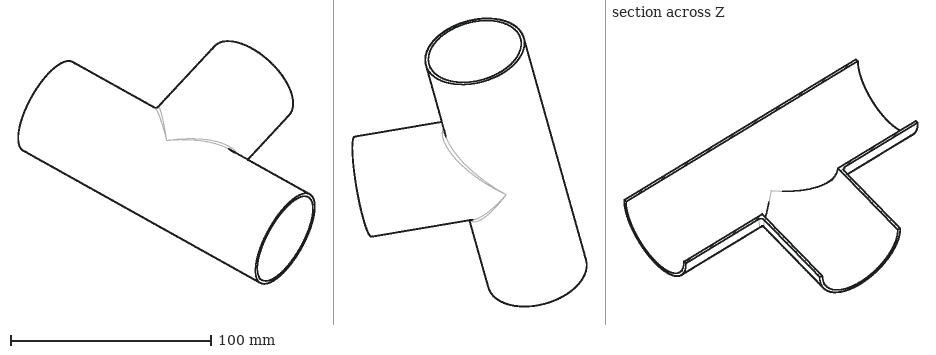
import cadquery as cq

run_length = 146.0
outer_diameter = 50.8
inner_diameter = 47.5
branch_reach = 73.0
corner_blend_radius = 1.8


def tee(diameter):
    """Solid tee of two equal cylinders: run along X, branch along +Y."""
    run = cq.Workplane("YZ").circle(diameter / 2).extrude(run_length / 2, both=True)
    branch = cq.Workplane("XZ").circle(diameter / 2).extrude(-branch_reach)
    return run.union(branch)


body = tee(outer_diameter).edges("%ELLIPSE").fillet(corner_blend_radius)

result = body.cut(tee(inner_diameter))